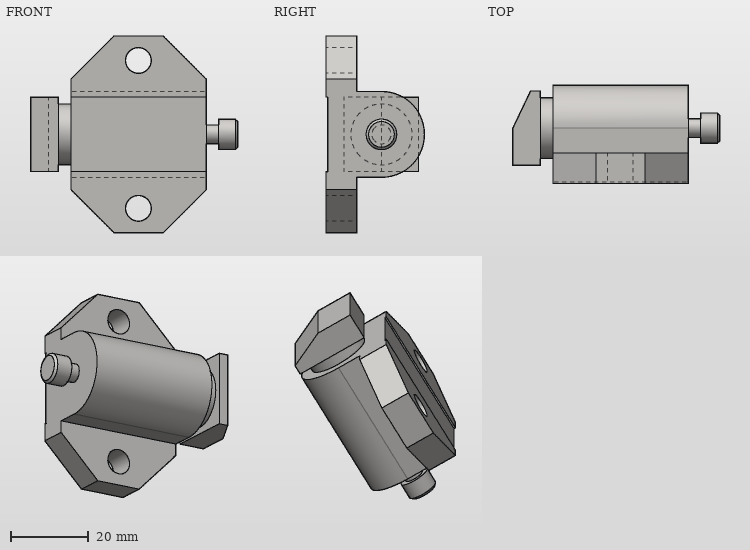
import cadquery as cq

total_length = 53.35
body_length = 34.9
plate_height = 50.8
plate_thickness = 7.95
plate_corner = 11.15

barrel_radius = 11.1
axis_y = 14.3

recess_height = 19.2
recess_depth = 0.45

hole_diameter = 6.55
hole_spacing = 38.1
hole_offset = 17.4

head_length = 7.15
head_size = 19.2
head_bevel_length = 4.6

collar_diameter = 15.75
collar_length = 3.2

rod_diameter = 4.9
rod_length = 3.2
knob_diameter = 7.9
knob_chamfer = 0.65

body_start = head_length + collar_length
body_end = body_start + body_length
knob_start = body_end + rod_length
knob_length = total_length - knob_start
body_middle = body_start + body_length / 2


def axial_cylinder(start, length, diameter):
    """Cylinder on the bolt axis."""
    return cq.Workplane("YZ", origin=(start, axis_y, 0)).circle(diameter / 2).extrude(length)


def mounting_plate():
    """Rectangular plate with its four corners cut off."""
    plate = cq.Workplane("XY").box(
        body_length, plate_thickness, plate_height, centered=(True, False, True)
    )
    plate = plate.edges("|Y").chamfer(plate_corner)
    return plate.translate((body_middle, 0, 0))


def barrel():
    """Round-backed housing that rises from the plate."""
    block = cq.Workplane("XY").box(
        body_length, axis_y, 2 * barrel_radius, centered=(True, False, True)
    )
    block = block.translate((body_middle, 0, 0))
    return block.union(axial_cylinder(body_start, body_length, 2 * barrel_radius))


def face_recess():
    """Shallow channel across the mounting face."""
    channel = cq.Workplane("XY").box(
        body_length, recess_depth, recess_height, centered=(True, False, True)
    )
    return channel.translate((body_middle, 0, 0))


def screw_holes():
    """Two through holes in the plate, above and below the barrel."""
    hole_x = body_start + hole_offset
    return (
        cq.Workplane("XZ", origin=(hole_x, 0, 0))
        .pushPoints([(0, hole_spacing / 2), (0, -hole_spacing / 2)])
        .circle(hole_diameter / 2)
        .extrude(-plate_thickness)
    )


def bolt_head():
    """Square bolt head, bevelled from the bolt axis to its rear side."""
    front_y = axis_y - head_size / 2
    rear_y = axis_y + head_size / 2
    outline = [
        (0, front_y),
        (head_length, front_y),
        (head_length, rear_y),
        (head_bevel_length, rear_y),
        (0, axis_y),
    ]
    return cq.Workplane("XY").polyline(outline).close().extrude(head_size / 2, both=True)


def knob():
    """Round knob with a chamfered outer end."""
    return axial_cylinder(knob_start, knob_length, knob_diameter).faces(">X").edges().chamfer(knob_chamfer)


body = mounting_plate().union(barrel()).cut(face_recess()).cut(screw_holes())
collar = axial_cylinder(head_length, collar_length, collar_diameter)
rod = axial_cylinder(body_end, rod_length, rod_diameter)

result = body.union(collar).union(bolt_head()).union(rod).union(knob())